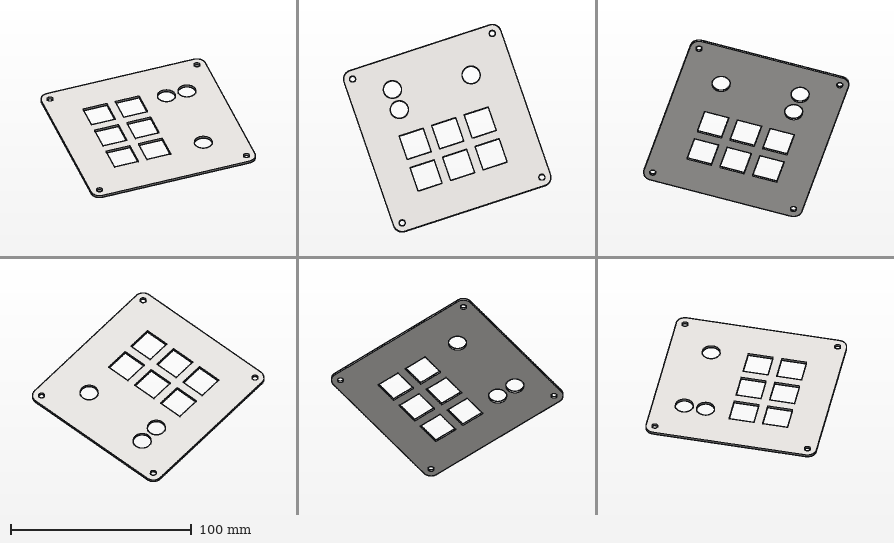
import cadquery as cq

width = 91.5
height = 96.2
thickness = 1.5
corner_radius = 5.0

mount_diameter = 3.4
mount_spacing_x = width - 2 * corner_radius
mount_spacing_y = height - 2 * corner_radius

round_diameter = 10.0
pair_x = -21.7
pair_pitch = 12.0
round_center_y = 24.4
single_x = 22.1

square_side = 14.0
square_pitch = 18.95
square_columns = 3
square_rows = 2
grid_center_x = -0.7
grid_center_y = -12.3


def make_plate():
    """Flat plate with rounded corners, its underside on Z = 0."""
    plate = cq.Workplane("XY").box(width, height, thickness, centered=(True, True, False))
    return plate.edges("|Z").fillet(corner_radius)


def cut_mounting_holes(plate):
    holes = plate.faces(">Z").workplane(origin=(0, 0, 0)).rarray(mount_spacing_x, mount_spacing_y, 2, 2)
    return holes.hole(mount_diameter)


def cut_round_openings(plate):
    centers = [
        (pair_x, round_center_y + pair_pitch / 2),
        (pair_x, round_center_y - pair_pitch / 2),
        (single_x, round_center_y),
    ]
    return plate.faces(">Z").workplane(origin=(0, 0, 0)).pushPoints(centers).hole(round_diameter)


def cut_square_openings(plate):
    grid = plate.faces(">Z").workplane(origin=(grid_center_x, grid_center_y, 0))
    grid = grid.rarray(square_pitch, square_pitch, square_columns, square_rows)
    return grid.rect(square_side, square_side).cutThruAll()


result = make_plate()
result = cut_mounting_holes(result)
result = cut_round_openings(result)
result = cut_square_openings(result)